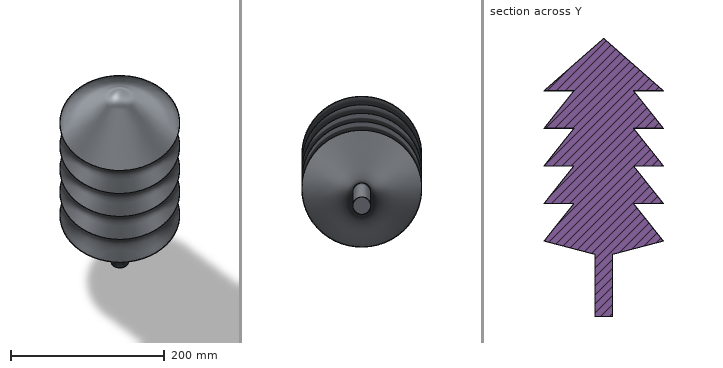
import cadquery as cq

total_height = 363.0
tier_radius = 156.5 / 2
neck_radius = 39.2
stem_radius = 23.2 / 2
stem_height = 81.0
lowest_rim_height = 98.5
tier_pitch = 49.0
tier_count = 5

profile = [
    (0, 0),
    (stem_radius, 0),
    (stem_radius, stem_height),
    (tier_radius, lowest_rim_height),
]

for tier in range(1, tier_count):
    rim_height = lowest_rim_height + tier * tier_pitch
    profile.append((neck_radius, rim_height))
    profile.append((tier_radius, rim_height))

profile.append((0, total_height))

result = cq.Workplane("XZ").polyline(profile).close().revolve(360, (0, 0), (0, 1))